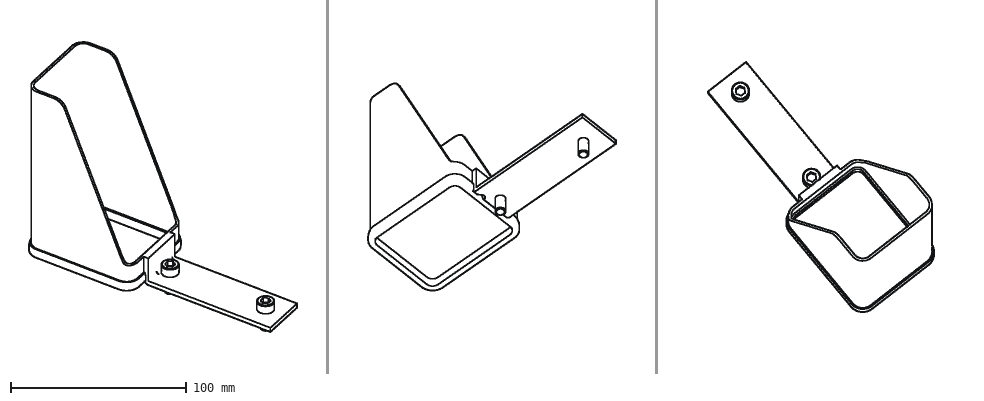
import cadquery as cq
import math

TUBE_LENGTH = 70.9
TUBE_WIDTH = 56.0
TUBE_WALL = 1.6
TUBE_CORNER_RADIUS = 7.5
TUBE_HEIGHT = 117.1

CUT_TOP_OFFSET = 24.0
CUT_ANGLE = 23.1
CUT_LOW_HEIGHT = 17.2
CUT_UPPER_RADIUS = 8.0
CUT_LOWER_RADIUS = 4.0

RING_HEIGHT = 6.2
RING_OVERLAP = 1.3
RING_INNER_OVERLAP = 1.3
RING_TAPER_HEIGHT = 1.9
RING_TAPER_DEPTH = 0.5
RING_BOTTOM_FILLET = 1.1

PLATE_THICKNESS = 3.0
PLATE_WIDTH = 28.0
PLATE_BOTTOM = -1.7
BEND_OUTER_RADIUS = 3.5
BEND_INNER_RADIUS = 0.5
OVERALL_LENGTH = 158.2

GUSSET_RADIUS = 2.7
GUSSET_SPACING = 16.3
GUSSET_FILLET = 1.1

SCREW_HEAD_DIAMETER = 10.1
SCREW_HEAD_HEIGHT = 5.7
SCREW_HEAD_CHAMFER = 0.5
SCREW_SHANK_DIAMETER = 6.0
SCREW_TIP_CHAMFER = 0.6
SCREW_TIP = -12.8
SOCKET_ACROSS_FLATS = 5.0
SOCKET_DEPTH = 3.0
FIRST_SCREW_FROM_LEG = 5.9
SCREW_SPACING = 64.9
SCREW_COUNT = 2

TUBE_LEFT = -TUBE_LENGTH / 2
TUBE_RIGHT = TUBE_LENGTH / 2
PLATE_TOP = PLATE_BOTTOM + PLATE_THICKNESS
LEG_FACE = TUBE_RIGHT + PLATE_THICKNESS
PLATE_END = TUBE_LEFT - RING_OVERLAP + OVERALL_LENGTH


def rounded_block(growth, height):
    """Solid with the outline of the tube, grown outwards by the given amount."""
    return (
        cq.Workplane("XY")
        .rect(TUBE_LENGTH + 2 * growth, TUBE_WIDTH + 2 * growth)
        .extrude(height)
        .edges("|Z")
        .fillet(TUBE_CORNER_RADIUS + growth)
    )


def make_tube():
    """Rectangular shell trimmed by a sloping side profile with rounded corners."""
    shell = rounded_block(0, TUBE_HEIGHT).cut(rounded_block(-TUBE_WALL, TUBE_HEIGHT))
    slope_top = TUBE_LEFT + CUT_TOP_OFFSET
    slope_run = (TUBE_HEIGHT - CUT_LOW_HEIGHT) * math.tan(math.radians(CUT_ANGLE))
    side = (
        cq.Workplane("XZ")
        .moveTo(TUBE_LEFT, 0)
        .lineTo(TUBE_LEFT, TUBE_HEIGHT)
        .lineTo(slope_top, TUBE_HEIGHT)
        .lineTo(slope_top + slope_run, CUT_LOW_HEIGHT)
        .lineTo(TUBE_RIGHT, CUT_LOW_HEIGHT)
        .lineTo(TUBE_RIGHT, 0)
        .close()
        .extrude(TUBE_WIDTH / 2, both=True)
    )
    upper_corner = cq.selectors.NearestToPointSelector((slope_top, 0, TUBE_HEIGHT))
    lower_corner = cq.selectors.NearestToPointSelector((slope_top + slope_run, 0, CUT_LOW_HEIGHT))
    side = side.edges(upper_corner).fillet(CUT_UPPER_RADIUS)
    side = side.edges(lower_corner).fillet(CUT_LOWER_RADIUS)
    return shell.intersect(side)


def make_ring():
    """Open ring around the foot of the tube, tapered at the top and rounded below."""
    ring = (
        rounded_block(RING_OVERLAP, RING_HEIGHT)
        .faces(">Z")
        .chamfer(RING_TAPER_HEIGHT, RING_TAPER_DEPTH)
        .faces("<Z")
        .edges()
        .fillet(RING_BOTTOM_FILLET)
    )
    return ring.cut(rounded_block(-TUBE_WALL - RING_INNER_OVERLAP, RING_HEIGHT))


def gusset_cylinders(corner_x, corner_z):
    """Pair of cylinders crossing the bend at 45 degrees, with their axes through the given corner."""
    diagonal = cq.Plane(origin=(corner_x, 0, corner_z), xDir=(0, 1, 0), normal=(1, 0, -1))
    return (
        cq.Workplane(diagonal)
        .pushPoints([(-GUSSET_SPACING / 2, 0), (GUSSET_SPACING / 2, 0)])
        .circle(GUSSET_RADIUS)
        .extrude(2 * GUSSET_RADIUS, both=True)
    )


def make_bracket():
    """L-shaped sheet: short leg against the tube, long plate along +X, gussets in the bend."""
    outline = (
        cq.Workplane("XZ")
        .moveTo(TUBE_RIGHT, CUT_LOW_HEIGHT)
        .lineTo(LEG_FACE, CUT_LOW_HEIGHT)
        .lineTo(LEG_FACE, PLATE_TOP)
        .lineTo(PLATE_END, PLATE_TOP)
        .lineTo(PLATE_END, PLATE_BOTTOM)
        .lineTo(TUBE_RIGHT + BEND_OUTER_RADIUS, PLATE_BOTTOM)
        .radiusArc((TUBE_RIGHT, PLATE_BOTTOM + BEND_OUTER_RADIUS), BEND_OUTER_RADIUS)
        .close()
    )
    bracket = outline.extrude(PLATE_WIDTH / 2, both=True)

    open_corner = (
        cq.Workplane("XY", origin=(LEG_FACE, 0, PLATE_TOP))
        .box(CUT_LOW_HEIGHT, PLATE_WIDTH, CUT_LOW_HEIGHT, centered=(False, True, False))
    )
    bulges = gusset_cylinders(LEG_FACE, PLATE_TOP).intersect(open_corner)
    bracket = bracket.union(bulges)
    bracket = bracket.edges("%ELLIPSE").fillet(GUSSET_FILLET)

    bend_line = cq.selectors.BoxSelector(
        (LEG_FACE - BEND_INNER_RADIUS, -PLATE_WIDTH, PLATE_TOP - BEND_INNER_RADIUS),
        (LEG_FACE + BEND_INNER_RADIUS, PLATE_WIDTH, PLATE_TOP + BEND_INNER_RADIUS),
    )
    bracket = bracket.edges(bend_line).edges("|Y").fillet(BEND_INNER_RADIUS)

    dents = gusset_cylinders(TUBE_RIGHT, PLATE_BOTTOM)
    return bracket.cut(dents)


def make_screw(x):
    """Socket head screw standing on the plate with its shank passing through it."""
    head = (
        cq.Workplane("XY", origin=(x, 0, PLATE_TOP))
        .circle(SCREW_HEAD_DIAMETER / 2)
        .extrude(SCREW_HEAD_HEIGHT)
        .faces(">Z")
        .chamfer(SCREW_HEAD_CHAMFER)
    )
    socket = (
        cq.Workplane("XY", origin=(x, 0, PLATE_TOP + SCREW_HEAD_HEIGHT - SOCKET_DEPTH))
        .polygon(6, SOCKET_ACROSS_FLATS, circumscribed=True)
        .extrude(SOCKET_DEPTH)
    )
    shank = (
        cq.Workplane("XY", origin=(x, 0, SCREW_TIP))
        .circle(SCREW_SHANK_DIAMETER / 2)
        .extrude(PLATE_TOP - SCREW_TIP)
        .faces("<Z")
        .chamfer(SCREW_TIP_CHAMFER)
    )
    return shank.union(head.cut(socket))


result = make_tube().union(make_ring()).union(make_bracket())
for index in range(SCREW_COUNT):
    result = result.union(make_screw(LEG_FACE + FIRST_SCREW_FROM_LEG + index * SCREW_SPACING))
result = cq.Workplane(result.solids().val())